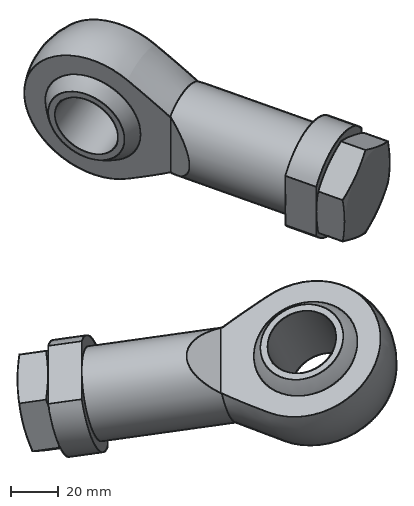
import cadquery as cq
import math

head_radius = 34.95
head_width = 25.0
ball_radius = 25.8
ball_width = 37.0
bore_diameter = 30.0

shank_radius = 40.4 / 2
neck_start = 16.3
bevel_start = 37.0
bevel_end = 49.8
collar_start = 95.4
collar_diameter = 49.8
across_flats = 41.0

overall_length = 158.5
nut_height = 13.5
nut_chamfer_diameter = 40.4
nut_chamfer_angle = 15.0

nut_end = overall_length - head_radius
nut_start = nut_end - nut_height


def make_head_and_shank():
    """Spherical head, tangent conical neck and round shank, turned about X."""
    neck_radius = math.sqrt(head_radius**2 - neck_start**2)
    neck_slope = neck_start / neck_radius
    neck_end = neck_start + (neck_radius - shank_radius) / neck_slope
    blank = (
        cq.Workplane("XY")
        .moveTo(-head_radius, 0)
        .threePointArc((0, head_radius), (neck_start, neck_radius))
        .lineTo(neck_end, shank_radius)
        .lineTo(collar_start, shank_radius)
        .lineTo(collar_start, 0)
        .close()
        .revolve(360, (0, 0, 0), (1, 0, 0))
    )
    half_width = head_width / 2
    envelope = (
        cq.Workplane("XY")
        .polyline([
            (-head_radius, -half_width),
            (bevel_start, -half_width),
            (bevel_end, -shank_radius),
            (collar_start, -shank_radius),
            (collar_start, shank_radius),
            (bevel_end, shank_radius),
            (bevel_start, half_width),
            (-head_radius, half_width),
        ])
        .close()
        .extrude(head_radius, both=True)
    )
    return blank.intersect(envelope)


def make_ball():
    """Sphere cut flat at both ends of the eye axis."""
    slab = cq.Workplane("XY").box(2 * ball_radius, ball_width, 2 * ball_radius)
    return cq.Workplane("XY").sphere(ball_radius).intersect(slab)


def make_collar():
    """Round collar with two wrench flats facing -Y and +Y."""
    length = nut_start - collar_start
    disc = cq.Workplane("YZ", origin=(collar_start, 0, 0)).circle(collar_diameter / 2).extrude(length)
    flats = cq.Workplane("YZ", origin=(collar_start, 0, 0)).rect(across_flats, collar_diameter).extrude(length)
    return disc.intersect(flats)


def make_rod_end():
    bore = cq.Workplane("XZ", origin=(0, ball_width / 2, 0)).circle(bore_diameter / 2).extrude(ball_width)
    return make_head_and_shank().union(make_ball()).union(make_collar()).cut(bore)


def make_nut():
    """Hexagonal nut with corners on Z and conical chamfers on both ends."""
    corner_radius = across_flats / 2 / math.cos(math.pi / 6)
    hexagon = (
        cq.Workplane("YZ", origin=(nut_start, 0, 0))
        .polygon(6, 2 * corner_radius)
        .extrude(nut_height)
        .rotate((0, 0, 0), (1, 0, 0), 90)
    )
    chamfer_radius = nut_chamfer_diameter / 2
    chamfer_length = (corner_radius - chamfer_radius) * math.tan(math.radians(nut_chamfer_angle))
    chamfer_envelope = (
        cq.Workplane("XY")
        .polyline([
            (nut_start, 0),
            (nut_start, chamfer_radius),
            (nut_start + chamfer_length, corner_radius),
            (nut_end - chamfer_length, corner_radius),
            (nut_end, chamfer_radius),
            (nut_end, 0),
        ])
        .close()
        .revolve(360, (0, 0, 0), (1, 0, 0))
    )
    return hexagon.intersect(chamfer_envelope)


rod_end = make_rod_end()
nut = make_nut()
result = cq.Compound.makeCompound([rod_end.val(), nut.val()])